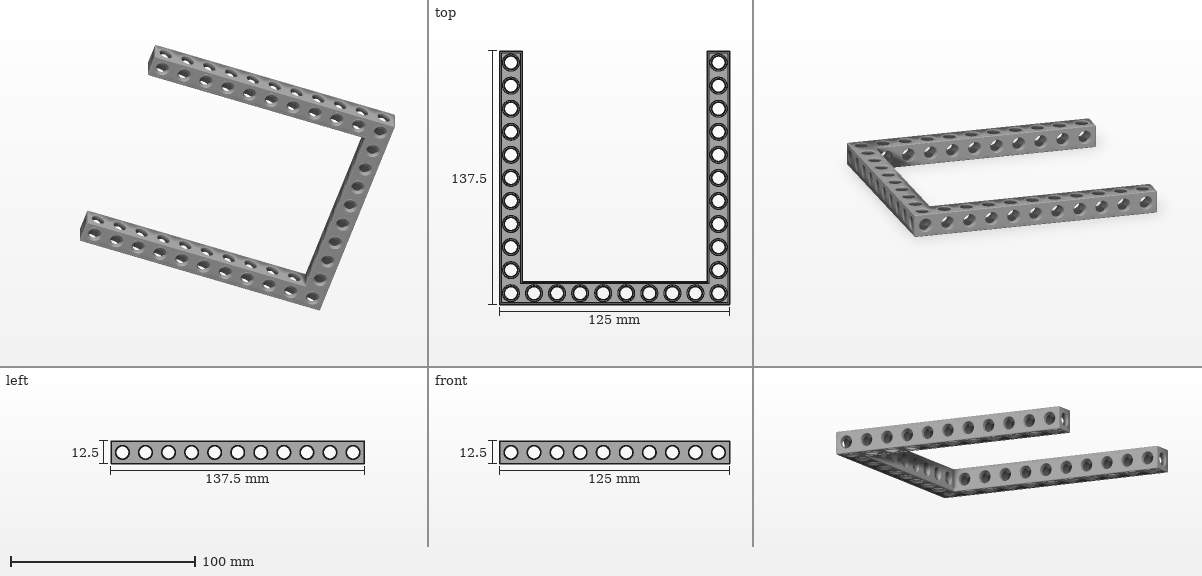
import cadquery as cq
pitch = 12.5
column_count = 10
row_count = 11
hole_diameter = 7.0
edge_chamfer = 0.3
recess_depth = 0.2
rim_width = 1.1

width = column_count * pitch
depth = row_count * pitch
height = pitch
hole_radius = hole_diameter / 2
collar_diameter = hole_diameter + 2 * rim_width


def hole_centres(count):
    """Evenly pitched positions, centred on zero."""
    return [(i - (count - 1) / 2) * pitch for i in range(count)]


columns = hole_centres(column_count)
rows = hole_centres(row_count)
arm_columns = [columns[0], columns[-1]]
base_centres = [(x, rows[0]) for x in columns]
arm_centres = [(x, y) for x in arm_columns for y in rows[1:]]
vertical_centres = base_centres + arm_centres


def u_prism(inset, thickness):
    """U-shaped plate whose outline is moved inwards by the inset."""
    beam = pitch - 2 * inset
    length = depth - 2 * inset
    base_offset = rows[0]
    plate = cq.Workplane("XY").center(0, base_offset).box(width - 2 * inset, beam, thickness)
    for x in arm_columns:
        plate = plate.union(cq.Workplane("XY").center(x, 0).box(beam, length, thickness))
    return plate


def make_frame():
    """Solid frame with its edges chamfered, except in the two inner corners."""
    frame = u_prism(0, height)
    frame = frame.edges("|Z").edges("<X or >X or >Y").chamfer(edge_chamfer)
    return frame.faces("<Z or >Z").edges().chamfer(edge_chamfer)


def recess_faces(frame):
    """Sink the top and bottom faces, leaving an edge rim and a collar around each hole."""
    collars = (
        cq.Workplane("XY")
        .pushPoints(vertical_centres)
        .circle(collar_diameter / 2)
        .extrude(recess_depth, both=True)
    )
    recess = u_prism(rim_width, recess_depth).cut(collars)
    recess_height = (height - recess_depth) / 2
    for z in (recess_height, -recess_height):
        frame = frame.cut(recess.translate((0, 0, z)))
    return frame


def beam_drill(centre, direction):
    """Cutter for one hole across a beam, with a flared mouth at each end."""
    half = pitch / 2
    mouth_radius = hole_radius + edge_chamfer
    profile = (
        cq.Workplane("XZ")
        .moveTo(0, -half)
        .lineTo(mouth_radius, -half)
        .lineTo(hole_radius, -half + edge_chamfer)
        .lineTo(hole_radius, half - edge_chamfer)
        .lineTo(mouth_radius, half)
        .lineTo(0, half)
        .close()
    )
    drill = profile.revolve(360, (0, 0, 0), (0, 1, 0)).val()
    if direction == "X":
        drill = drill.rotate(cq.Vector(0, 0, 0), cq.Vector(0, 1, 0), 90)
    if direction == "Y":
        drill = drill.rotate(cq.Vector(0, 0, 0), cq.Vector(1, 0, 0), 90)
    return drill.translate(cq.Vector(*centre))


def long_drill(centre, direction, length):
    """Plain cylinder cutter, centred at the given point, for a hole along a whole beam."""
    axis = cq.Vector(*direction)
    start = cq.Vector(*centre) - axis * (length / 2)
    return cq.Solid.makeCylinder(hole_radius, length, start, axis)


def end_mouth(centre, direction):
    """Flared mouth of a lengthwise hole, opening outwards along the direction."""
    axis = cq.Vector(*direction)
    start = cq.Vector(*centre) - axis * edge_chamfer
    return cq.Solid.makeCone(hole_radius, hole_radius + edge_chamfer, edge_chamfer, start, axis)


def vertical_drills():
    return [beam_drill((x, y, 0), "Z") for x, y in vertical_centres]


def cross_drills():
    """Holes across the arms along X and across the base along Y."""
    across_arms = [beam_drill((x, y, 0), "X") for x, y in arm_centres]
    across_base = [beam_drill((x, rows[0], 0), "Y") for x in columns[1:-1]]
    return across_arms + across_base


def lengthwise_drills():
    """Holes running the full length of the base and of both arms."""
    drills = [long_drill((0, rows[0], 0), (1, 0, 0), width)]
    for side in (1, -1):
        drills.append(end_mouth((side * width / 2, rows[0], 0), (side, 0, 0)))
    for x in arm_columns:
        drills.append(long_drill((x, 0, 0), (0, 1, 0), depth))
        for side in (1, -1):
            drills.append(end_mouth((x, side * depth / 2, 0), (0, side, 0)))
    return drills


result = recess_faces(make_frame())
for drills in (vertical_drills(), cross_drills(), lengthwise_drills()):
    for drill in drills:
        result = result.cut(cq.Workplane(drill))